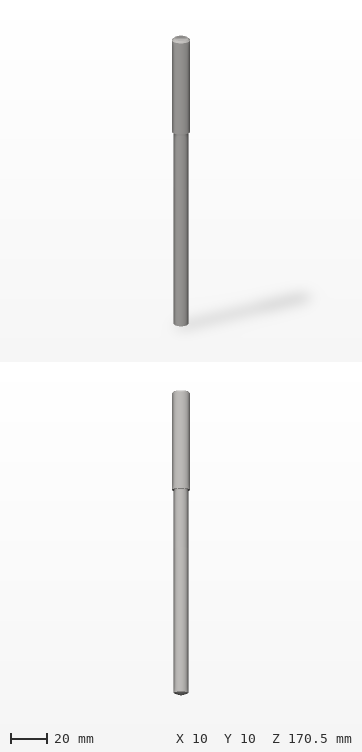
import cadquery as cq

total_length = 170.5
bottom_z = -total_length / 2
top_z = total_length / 2

shank_diameter = 10.0
shank_length = 55.0
shank_chamfer = 1.0

rod_diameter = 8.0
tip_length = 1.5
cutting_length = 82.5

shank_radius = shank_diameter / 2
rod_radius = rod_diameter / 2
shank_bottom_z = top_z - shank_length
cutting_top_z = bottom_z + cutting_length


def make_shank_with_neck():
    """Chamfered shank and the thinner neck below it."""
    shank = (
        cq.Workplane("XY", origin=(0, 0, shank_bottom_z))
        .circle(shank_radius)
        .extrude(shank_length)
        .faces(">Z")
        .chamfer(shank_chamfer)
    )
    neck = (
        cq.Workplane("XY", origin=(0, 0, cutting_top_z))
        .circle(rod_radius)
        .extrude(shank_bottom_z - cutting_top_z)
    )
    return shank.union(neck)


def make_cutting_section():
    """Cylinder with a shallow conical point, revolved about Z."""
    return (
        cq.Workplane("XZ")
        .moveTo(0, bottom_z)
        .lineTo(rod_radius, bottom_z + tip_length)
        .lineTo(rod_radius, cutting_top_z)
        .lineTo(0, cutting_top_z)
        .close()
        .revolve(360, (0, 0, 0), (0, 1, 0))
    )


shank_with_neck = make_shank_with_neck()
cutting_section = make_cutting_section()

result = cq.Compound.makeCompound([shank_with_neck.val(), cutting_section.val()])